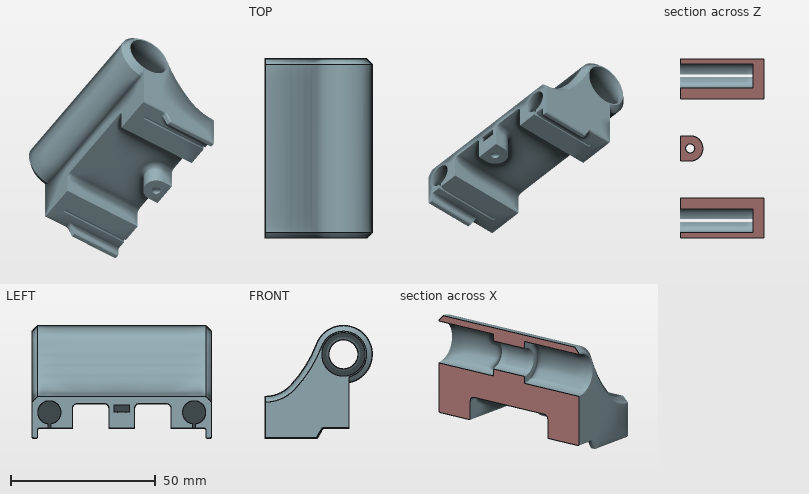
import cadquery as cq
import math

width = 62.0
half_width = width / 2
body_depth = 29.0
front_height = 14.5
base_height = 3.5

tube_radius = 10.0
tube_x = 27.05
tube_z = 29.0
through_diameter = 10.0
bearing_diameter = 15.0
bearing_length = 24.0

lower_arc_radius = 12.0
lower_arc_angle = math.radians(47)
end_chamfer = 2.0

skirt_thickness = 2.0
skirt_length = 18.0
skirt_slope_angle = math.radians(60)
skirt_corner_radius = 1.0
edge_chamfer = 0.4
selection_margin = 0.05

channel_width = 34.0
channel_top = 11.9
channel_rounding = 1.5
post_width = 8.9
post_centre_x = 3.5

nut_width = 5.5
nut_height = 2.4
nut_floor = 9.05
nut_pocket_depth = post_centre_x + nut_width / 2
screw_diameter = 3.0

rod_diameter = 8.0
rod_spacing = 50.0
rod_z = 9.0
rod_depth = 25.0
slit_width = 1.0


def along_y(centre_x, centre_z, diameter, y_start, y_end):
    """Cylinder parallel to Y between two Y positions."""
    return (
        cq.Workplane("XZ", origin=(0, y_start, 0))
        .center(centre_x, centre_z)
        .circle(diameter / 2)
        .extrude(y_start - y_end)
    )


def box(x_range, y_range, z_range):
    """Box between two positions on each axis."""
    corner = (x_range[0], y_range[0], z_range[0])
    size = [end - start for start, end in (x_range, y_range, z_range)]
    return cq.Workplane("XY").box(*size, centered=False).translate(corner)


def make_body():
    """Side outline extruded over the full width, with the curved rim of both ends chamfered."""
    normal_x = -math.sin(lower_arc_angle)
    normal_z = math.cos(lower_arc_angle)
    join_x = -lower_arc_radius * normal_x
    join_z = front_height + lower_arc_radius * (1 - normal_z)

    offset_x = join_x - tube_x
    offset_z = join_z - tube_z
    offset_along_normal = offset_x * normal_x + offset_z * normal_z
    offset_squared = offset_x**2 + offset_z**2
    upper_arc_radius = (offset_squared - tube_radius**2) / (2 * (tube_radius - offset_along_normal))

    centre_offset_x = offset_x + upper_arc_radius * normal_x
    centre_offset_z = offset_z + upper_arc_radius * normal_z
    touch_ratio = tube_radius / math.hypot(centre_offset_x, centre_offset_z)
    touch = (tube_x + touch_ratio * centre_offset_x, tube_z + touch_ratio * centre_offset_z)

    tube_bottom_z = tube_z - math.sqrt(tube_radius**2 - (body_depth - tube_x) ** 2)
    slope_end_x = skirt_length + base_height / math.tan(skirt_slope_angle)

    body = (
        cq.Workplane("XZ", origin=(0, half_width, 0))
        .moveTo(0, front_height)
        .radiusArc((join_x, join_z), -lower_arc_radius)
        .tangentArcPoint(touch, relative=False)
        .threePointArc((tube_x + tube_radius, tube_z), (body_depth, tube_bottom_z))
        .lineTo(body_depth, base_height)
        .lineTo(slope_end_x, base_height)
        .lineTo(skirt_length, 0)
        .lineTo(0, 0)
        .close()
        .extrude(width)
    )
    body = body.faces("<Y or >Y").edges("not %LINE").chamfer(end_chamfer)
    step_corner = cq.selectors.NearestToPointSelector((slope_end_x, 0, base_height))
    return body.edges(step_corner).fillet(skirt_corner_radius)


def chamfer_low_edges(body, y, top_z):
    """Chamfer the edges at one Y position that lie no higher than top_z."""
    low_edges = cq.selectors.BoxSelector(
        (0, y - selection_margin, -selection_margin),
        (body_depth, y + selection_margin, top_z + selection_margin),
    )
    return body.edges(low_edges).chamfer(edge_chamfer)


def cut_between_skirts(body):
    """Raise the base between the skirts, then chamfer its outer edges and the skirt bottoms."""
    inner_y = half_width - skirt_thickness
    gap = box((0, body_depth), (-inner_y, inner_y), (0, base_height))
    body = body.cut(gap.edges("|X and >Z").chamfer(edge_chamfer))
    for side in (-1, 1):
        body = chamfer_low_edges(body, side * half_width, base_height)
        body = chamfer_low_edges(body, side * inner_y, 0)
    return body


def make_channel():
    """Underside channel around the post, rounded along its upper edges."""
    half_channel = channel_width / 2
    half_post = post_width / 2
    post = box((0, post_centre_x), (-half_post, half_post), (0, channel_top)).union(
        cq.Workplane("XY").center(post_centre_x, 0).circle(half_post).extrude(channel_top)
    )
    channel = box((0, body_depth), (-half_channel, half_channel), (0, channel_top)).cut(post)
    rim = channel.faces(">Z").edges("not(<X or >X)")
    return rim.fillet(channel_rounding)


def make_bore():
    """Through hole with a bearing seat at each end."""
    bore = along_y(tube_x, tube_z, through_diameter, -half_width, half_width)
    for seat_start in (-half_width, half_width - bearing_length):
        seat_end = seat_start + bearing_length
        bore = bore.union(along_y(tube_x, tube_z, bearing_diameter, seat_start, seat_end))
    return bore


def make_rod_socket(y):
    """Rod hole along X with its clamping slit."""
    hole = cq.Workplane("YZ").center(y, rod_z).circle(rod_diameter / 2).extrude(rod_depth)
    slit = box((0, rod_depth), (y - slit_width / 2, y + slit_width / 2), (0, rod_z))
    return hole.union(slit)


def make_nut_trap():
    """Nut pocket open at the face X = 0, reached from below by the screw hole."""
    nut_top = nut_floor + nut_height
    pocket = box((0, nut_pocket_depth), (-nut_width / 2, nut_width / 2), (nut_floor, nut_top))
    screw = cq.Workplane("XY").center(post_centre_x, 0).circle(screw_diameter / 2).extrude(nut_top)
    return pocket.union(screw)


result = cut_between_skirts(make_body())
result = result.cut(make_channel()).cut(make_bore()).cut(make_nut_trap())
for rod_y in (-rod_spacing / 2, rod_spacing / 2):
    result = result.cut(make_rod_socket(rod_y))